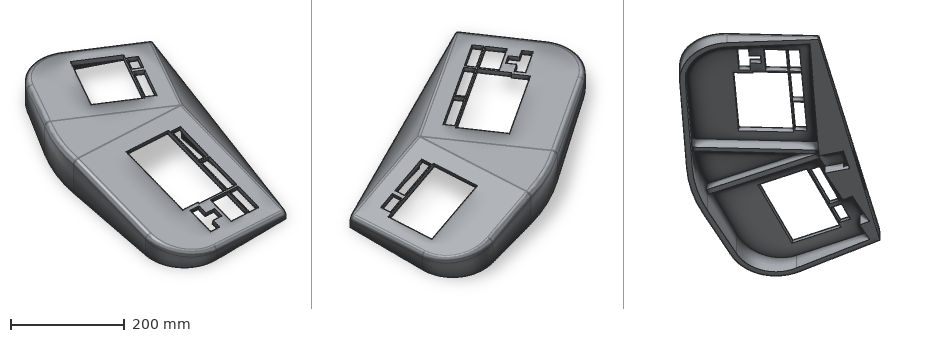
import cadquery as cq
import math

APEX_HEIGHT = 58.5
WING_DEPTH = 250.0
LEFT_WIDTH = 204.0
RIGHT_WIDTH = 294.0
CORNER_RADIUS = 88.0
EDGE_RADIUS = 10.0
WALL = 10.0
PLATE = 9.5
BACK_WALL = 15.5
RIB_DROP = 19.5
BLOCK_HEIGHT = 111.0
STOCK = 1666.0

LEFT_RIDGE = cq.Vector(-35.5, 7.7, -5.5)
LEFT_CREASE = cq.Vector(-9.8, -42.4, 3.8)
RIGHT_RIDGE = cq.Vector(51.5, 10.1, -7.8)
RIGHT_CREASE = cq.Vector(9.2, -42.4, 3.8)

FUNCTION_ROW = (-55.5, -34.5)
MAIN_ROWS = (-155.5, -58.5)
LEFT_WINDOWS = [
    (-159.0, -124.5, *FUNCTION_ROW),
    (-116.5, -38.0, *FUNCTION_ROW),
    (-169.0, -34.5, *MAIN_ROWS),
]
RIGHT_WINDOWS = [
    (39.0, 116.5, *FUNCTION_ROW),
    (120.0, 196.5, *FUNCTION_ROW),
    (201.0, 259.0, *FUNCTION_ROW),
    (200.5, 259.0, -98.0, -58.5),
    (34.5, 193.0, *MAIN_ROWS),
    (34.5, 196.5, -120.5, -58.5),
    (201.0, 259.0, -145.0, -124.5),
    (220.5, 240.5, -145.0, -104.5),
]

RECESS_LEFT, RECESS_RIGHT = -155.5, -89.0
RECESS_BACK = 3.5

BAY_HALF_WIDTH = 21.0
BAY_BACK = 33.5
SLOT_LEFT, SLOT_RIGHT = -83.5, 11.0
SLOT_BOTTOM, SLOT_TOP = 9.0, 18.5
SLOT_FRONT = 22.0
CAVITY_REACH = 28.0

APEX = cq.Vector(0, 0, APEX_HEIGHT)


def face_plane(along, normal):
    """Plane through the apex with local x along the given direction."""
    return cq.Plane(origin=APEX, xDir=along, normal=normal)


LEFT_PLANE = face_plane(LEFT_RIDGE * -1, LEFT_RIDGE.cross(LEFT_CREASE))
RIGHT_PLANE = face_plane(RIGHT_RIDGE, RIGHT_CREASE.cross(RIGHT_RIDGE))
MIDDLE_PLANE = face_plane(RIGHT_CREASE - LEFT_CREASE, LEFT_CREASE.cross(RIGHT_CREASE))
BACK_PLANE = face_plane(RIGHT_RIDGE - LEFT_RIDGE, RIGHT_RIDGE.cross(LEFT_RIDGE))


def in_plan(plane, x, y):
    """Footprint position of a point given on a wing."""
    point = plane.toWorldCoords((x, y, 0))
    return cq.Vector(point.x, point.y, 0)


def crease_in_plan(crease, distance):
    """Footprint position at a distance down a crease."""
    point = crease.normalized() * distance
    return cq.Vector(point.x, point.y, 0)


def footprint(wall, back_points):
    """Upright block over the plan outline, front and sides set in by the wall."""
    front = wall - WING_DEPTH
    left_outer = in_plan(LEFT_PLANE, wall - LEFT_WIDTH, front)
    left_inner = crease_in_plan(LEFT_CREASE, -front)
    right_inner = crease_in_plan(RIGHT_CREASE, -front)
    right_outer = in_plan(RIGHT_PLANE, RIGHT_WIDTH - wall, front)
    sweep = (left_inner - left_outer).getAngle(right_outer - right_inner)
    chord = right_inner - left_inner
    sagitta = chord.Length / 2 * math.tan(sweep / 4)
    forward = cq.Vector(chord.y, -chord.x, 0).normalized()
    front_middle = (left_inner + right_inner) / 2 + forward * sagitta
    block = (
        cq.Workplane("XY")
        .moveTo(left_outer.x, left_outer.y)
        .lineTo(left_inner.x, left_inner.y)
        .threePointArc((front_middle.x, front_middle.y), (right_inner.x, right_inner.y))
        .lineTo(right_outer.x, right_outer.y)
    )
    for point in back_points:
        block = block.lineTo(point.x, point.y)
    block = block.close().extrude(BLOCK_HEIGHT)
    for corner in (left_outer, right_outer):
        upright = cq.selectors.NearestToPointSelector((corner.x, corner.y, APEX_HEIGHT))
        block = block.edges("|Z").edges(upright).fillet(CORNER_RADIUS - wall)
    return block


def trim_above(block, planes, drop):
    """Keeps what lies more than the drop below every plane."""
    for plane in planes:
        cutter = cq.Workplane(plane).workplane(offset=-drop).rect(STOCK, STOCK).extrude(STOCK)
        block = block.cut(cutter)
    return block


def outer_body():
    """Solid housing with every roof edge rounded except the one along the rear wall."""
    rear = [in_plan(RIGHT_PLANE, RIGHT_WIDTH, 0), in_plan(LEFT_PLANE, -LEFT_WIDTH, 0)]
    block = trim_above(footprint(0, rear), [LEFT_PLANE, RIGHT_PLANE, MIDDLE_PLANE, BACK_PLANE], 0)
    roof_edges = block.edges("not(|Z or <Z)").sort(lambda edge: edge.Center().y)
    return roof_edges[:-1].fillet(EDGE_RADIUS)


def upright_block(points):
    """Tall block standing on a straight-sided plan outline."""
    corners = [(point.x, point.y) for point in points]
    return cq.Workplane("XY").polyline(corners).close().extrude(BLOCK_HEIGHT)


def crease_rib(plane, x_from):
    """Stiffening rib hanging under the roof along the crease side of a wing."""
    return (
        cq.Workplane(plane)
        .box(WALL, WING_DEPTH, PLATE + RIB_DROP, centered=False)
        .translate(plane.xDir * x_from - plane.yDir * WING_DEPTH - plane.zDir * (PLATE + RIB_DROP))
    )


def cavity():
    """Open-bottomed hollow under the roof, with a deeper recess behind the left wing."""
    rear = [
        in_plan(RIGHT_PLANE, RIGHT_WIDTH - WALL, -BACK_WALL),
        crease_in_plan(LEFT_CREASE + RIGHT_CREASE, BACK_WALL),
        in_plan(LEFT_PLANE, WALL - LEFT_WIDTH, -BACK_WALL),
    ]
    hollow = trim_above(footprint(WALL, rear), [LEFT_PLANE, RIGHT_PLANE, MIDDLE_PLANE], PLATE)
    recess_corners = [
        in_plan(LEFT_PLANE, RECESS_LEFT, -2 * BACK_WALL),
        in_plan(LEFT_PLANE, RECESS_RIGHT, -2 * BACK_WALL),
        in_plan(LEFT_PLANE, RECESS_RIGHT, RECESS_BACK),
        in_plan(LEFT_PLANE, RECESS_LEFT, RECESS_BACK),
    ]
    recess = trim_above(upright_block(recess_corners), [LEFT_PLANE], PLATE)
    return (
        hollow.union(recess)
        .cut(crease_rib(LEFT_PLANE, -WALL))
        .cut(crease_rib(RIGHT_PLANE, 0))
    )


def key_windows(plane, windows):
    """Cutters through the roof plate, square to a wing."""
    cutters = cq.Workplane(plane)
    for x_from, x_to, y_from, y_to in windows:
        cutters = cutters.union(
            cq.Workplane(plane)
            .center((x_from + x_to) / 2, (y_from + y_to) / 2)
            .rect(x_to - x_from, y_to - y_from)
            .extrude(2 * PLATE, both=True)
        )
    return cutters


def cable_passage():
    """Bay opening into the cavity, with a slot from it out through the rear wall."""
    bay = (
        cq.Workplane("XY")
        .box(2 * BAY_HALF_WIDTH, BAY_BACK + CAVITY_REACH, SLOT_TOP, centered=(True, False, False))
        .translate((0, -CAVITY_REACH, 0))
    )
    slot = (
        cq.Workplane("XY")
        .box(SLOT_RIGHT - SLOT_LEFT, STOCK, SLOT_TOP - SLOT_BOTTOM, centered=False)
        .translate((SLOT_LEFT, SLOT_FRONT, SLOT_BOTTOM))
    )
    return bay.union(slot)


result = (
    outer_body()
    .cut(cavity())
    .cut(key_windows(LEFT_PLANE, LEFT_WINDOWS))
    .cut(key_windows(RIGHT_PLANE, RIGHT_WINDOWS))
    .cut(cable_passage())
)